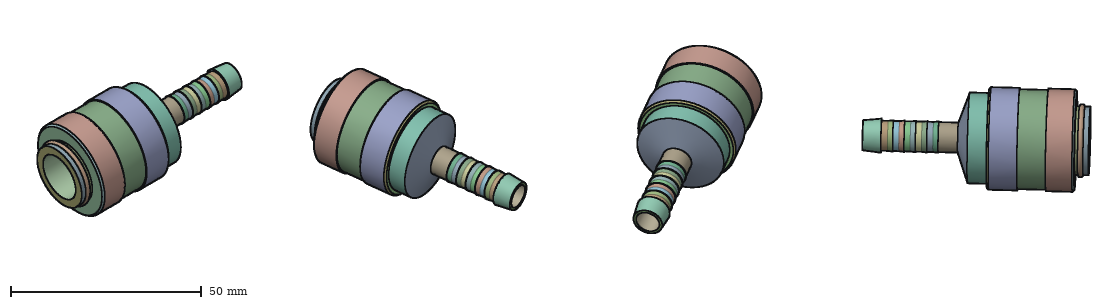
import cadquery as cq

length = 59.5

spigot_radius = 9.05
bead_radius = 9.65
bead_center = 2.15
bead_half_width = 0.7

sleeve_radius = 13.5
sleeve_start = 3.6
sleeve_end = 26.65
sleeve_chamfer = 0.55
waist_radius = 13.15
waist_start = 11.1
waist_end = 18.6

body_radius = 11.95
body_end = 31.7
stem_radius = 4.0
stem_start = 34.5

barb_radius = 4.15
barb_length = 1.4
barb_pitch = 3.0
barb_count = 5
first_barb_base = 39.6
tip_barb_radius = 4.5
tip_barb_length = 4.9

bore_radius = 6.6
bore_depth = 23.8
seat_radius = 5.5
seat_length = bore_radius - seat_radius
passage_radius = 3.2


def revolve_about_y(profile):
    return profile.close().revolve(360, (0, 0, 0), (0, 1, 0))


def make_body():
    """Solid of the spigot, bead, sleeve, taper and plain stem."""
    chamfer_radius = sleeve_radius - sleeve_chamfer
    profile = (
        cq.Workplane("XY")
        .lineTo(spigot_radius, 0)
        .lineTo(spigot_radius, bead_center - bead_half_width)
        .threePointArc((bead_radius, bead_center), (spigot_radius, bead_center + bead_half_width))
        .lineTo(spigot_radius, sleeve_start)
        .lineTo(chamfer_radius, sleeve_start)
        .lineTo(sleeve_radius, sleeve_start + sleeve_chamfer)
        .lineTo(sleeve_radius, waist_start)
        .lineTo(waist_radius, waist_start)
        .lineTo(waist_radius, waist_end)
        .lineTo(sleeve_radius, waist_end)
        .lineTo(sleeve_radius, sleeve_end - sleeve_chamfer)
        .lineTo(chamfer_radius, sleeve_end)
        .lineTo(body_radius, sleeve_end)
        .lineTo(body_radius, body_end)
        .lineTo(stem_radius, stem_start)
        .lineTo(stem_radius, length)
        .lineTo(0, length)
    )
    return revolve_about_y(profile)


def make_barb(base, cone_length, radius):
    """Cone that is widest at its base and meets the stem at its other end."""
    profile = (
        cq.Workplane("XY")
        .moveTo(0, base)
        .lineTo(radius, base)
        .lineTo(stem_radius, base + cone_length)
        .lineTo(0, base + cone_length)
    )
    return revolve_about_y(profile)


def make_cavity():
    """Stepped bore running through the whole length."""
    seat_end = bore_depth + seat_length
    profile = (
        cq.Workplane("XY")
        .lineTo(bore_radius, 0)
        .lineTo(bore_radius, bore_depth)
        .lineTo(seat_radius, seat_end)
        .lineTo(passage_radius, seat_end)
        .lineTo(passage_radius, length)
        .lineTo(0, length)
    )
    return revolve_about_y(profile)


result = make_body()
result = result.union(make_barb(length - tip_barb_length, tip_barb_length, tip_barb_radius))
for index in range(barb_count):
    barb_base = first_barb_base + index * barb_pitch
    result = result.union(make_barb(barb_base, barb_length, barb_radius))
result = result.cut(make_cavity())